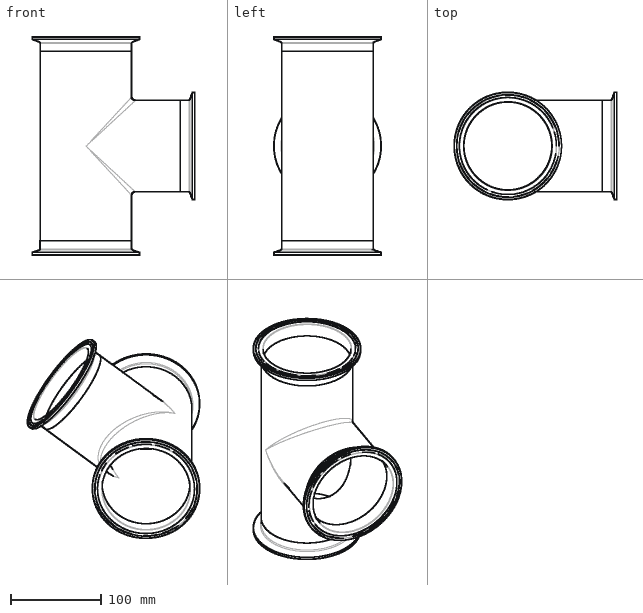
import cadquery as cq

end_reach = 120.7
ferrule_length = 16.0
tube_reach = end_reach - ferrule_length
tube_radius = 101.6 / 2
wall = 2.11
bore_radius = tube_radius - wall

crotch_fillet = 4.0
crotch_tip_gap = 0.3
crotch_half_width = tube_radius - crotch_tip_gap

flange_radius = 119.0 / 2
rim_thickness = 2.85
flange_back_drop = 3.15
rim_back = end_reach - rim_thickness
neck_top = rim_back - flange_back_drop
neck_fillet = 1.5
bore_lip = 0.6

groove_radius = 55.1
groove_half_width = 1.4
groove_depth = 1.4
groove_lip = 0.4

match_tolerance = 1e-3


def tee_cylinders(radius):
    """Run and branch cylinders of one radius, joined."""
    run = cq.Workplane("XY").circle(radius).extrude(tube_reach, both=True)
    branch = cq.Workplane("YZ").circle(radius).extrude(tube_reach)
    return run.union(branch)


def make_tee():
    """Hollow tee; its crotch is rounded within a slab that leaves out the two tips."""
    sharp = tee_cylinders(tube_radius)
    slab_size = 2 * end_reach
    slab = cq.Workplane("XY").box(slab_size, 2 * crotch_half_width, slab_size)
    middle = sharp.intersect(slab)
    crotch_edges = [edge for edge in middle.edges().vals() if edge.geomType() == "ELLIPSE"]
    rounded = middle.newObject(crotch_edges).fillet(crotch_fillet)
    return sharp.union(rounded).cut(tee_cylinders(bore_radius))


def circle_edges(part, radius, height):
    """Edges of a turned part that lie at the given radius and height on the Z axis."""
    return [
        edge
        for edge in part.edges("%CIRCLE").vals()
        if abs(edge.radius() - radius) < match_tolerance
        and abs(edge.Center().z - height) < match_tolerance
    ]


def make_ferrule():
    """Ferrule along Z with its flange face up, placed on the top end of the run."""
    ferrule = (
        cq.Workplane("XZ")
        .moveTo(bore_radius, tube_reach)
        .lineTo(tube_radius, tube_reach)
        .lineTo(tube_radius, neck_top)
        .lineTo(flange_radius, rim_back)
        .lineTo(flange_radius, end_reach)
        .lineTo(groove_radius + groove_half_width, end_reach)
        .threePointArc(
            (groove_radius, end_reach - groove_depth),
            (groove_radius - groove_half_width, end_reach),
        )
        .lineTo(bore_radius, end_reach)
        .close()
        .revolve(360, (0, 0, 0), (0, 1, 0))
    )
    roundings = [
        (tube_radius, neck_top, neck_fillet),
        (bore_radius, end_reach, bore_lip),
        (groove_radius - groove_half_width, end_reach, groove_lip),
        (groove_radius + groove_half_width, end_reach, groove_lip),
    ]
    for radius, height, size in roundings:
        ferrule = ferrule.newObject(circle_edges(ferrule, radius, height)).fillet(size)
    return ferrule


tee = make_tee()

ferrules = [make_ferrule().rotate((0, 0, 0), (0, 1, 0), turn) for turn in (0, 90, 180)]

result = cq.Compound.makeCompound([tee.val()] + [ferrule.val() for ferrule in ferrules])